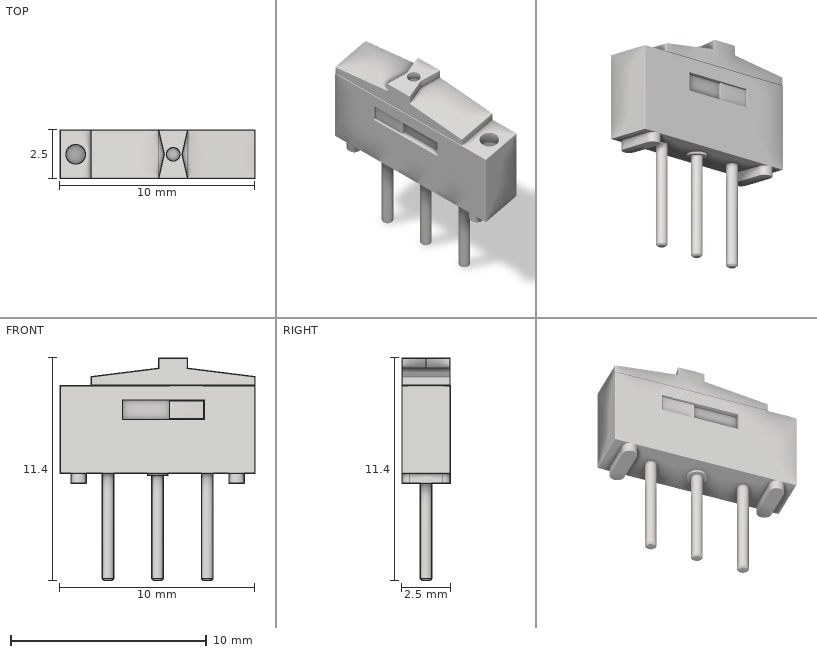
import cadquery as cq


OVERALL_HEIGHT = 11.4

HOUSING_LENGTH = 10.0
HOUSING_WIDTH = 2.5
HOUSING_HEIGHT = 4.5
RIGHT_END = HOUSING_LENGTH / 2

EDGE_RADIUS = 0.02

LEDGE_LENGTH = 1.6
CAP_LENGTH = HOUSING_LENGTH - LEDGE_LENGTH
CAP_INSET = 0.01
CAP_GAP = 0.02
CAP_BOTTOM = HOUSING_HEIGHT + CAP_GAP
CAP_WIDTH = HOUSING_WIDTH - 2 * CAP_INSET
CAP_CENTRE_X = RIGHT_END - CAP_LENGTH / 2
CAP_END_TOP = HOUSING_HEIGHT + 0.46
SLOPE_TOP = HOUSING_HEIGHT + 0.89

KNOB_TOP = HOUSING_HEIGHT + 1.4
KNOB_LENGTH = 1.49
KNOB_NOTCH_DEPTH = 0.28
KNOB_HOLE_DIAMETER = 0.7
KNOB_HOLE_DEPTH = 0.46

LEDGE_HOLE_DIAMETER = 1.0
LEDGE_HOLE_DEPTH = 0.68
LEDGE_HOLE_X = -RIGHT_END + LEDGE_LENGTH / 2

WINDOW_LEFT = -1.79
WINDOW_RIGHT = 2.42
WINDOW_BOTTOM = 2.77
WINDOW_HEIGHT = 0.98
WINDOW_DEPTH = 0.3

CATCH_LENGTH = 1.74
CATCH_END_GAP = 0.07
CATCH_EDGE_GAP = 0.03
CATCH_RECESS = 0.1
CATCH_HEIGHT = WINDOW_HEIGHT - 2 * CATCH_EDGE_GAP
CATCH_CENTRE_X = WINDOW_RIGHT - CATCH_END_GAP - CATCH_LENGTH / 2
CATCH_SPAN = HOUSING_WIDTH - 2 * CATCH_RECESS
STEM_WIDTH = HOUSING_WIDTH - 2 * WINDOW_DEPTH
STEM_BOTTOM = WINDOW_BOTTOM + CATCH_EDGE_GAP

FOOT_SPACING = 8.1
FOOT_THICKNESS = 0.8
FOOT_HEIGHT = 0.51

PIN_COUNT = 3
PIN_PITCH = 2.54
PIN_DIAMETER = 0.6
PIN_LENGTH = OVERALL_HEIGHT - KNOB_TOP
PIN_TIP_CHAMFER = 0.09
COLLAR_DIAMETER = 1.05
COLLAR_HEIGHT = 0.11


def box(length, width, height, centre_x, bottom):
    """Block centred across the switch, standing on the level `bottom`."""
    return (
        cq.Workplane("XY", origin=(centre_x, 0, bottom))
        .box(length, width, height, centered=(True, True, False))
    )


def cylinder_down(diameter, height, x, top):
    """Upright cylinder on the centre line, hanging from the level `top`."""
    return cq.Workplane("XY", origin=(x, 0, top)).circle(diameter / 2).extrude(-height)


def make_stem():
    """Solid stem that fills the slot below the cap."""
    return box(CATCH_LENGTH, STEM_WIDTH, CAP_BOTTOM - STEM_BOTTOM, CATCH_CENTRE_X, STEM_BOTTOM)


def make_window_cuts():
    """Shallow rectangular windows in both long sides of the housing."""
    length = WINDOW_RIGHT - WINDOW_LEFT
    centre_x = (WINDOW_LEFT + WINDOW_RIGHT) / 2
    across = box(length, HOUSING_WIDTH, WINDOW_HEIGHT, centre_x, WINDOW_BOTTOM)
    core = box(length, STEM_WIDTH, WINDOW_HEIGHT, centre_x, WINDOW_BOTTOM)
    return across.cut(core)


def make_foot(x):
    """Stand-off foot with fully rounded ends."""
    return (
        cq.Workplane("XY", origin=(x, 0, 0))
        .slot2D(HOUSING_WIDTH, FOOT_THICKNESS, 90)
        .extrude(-FOOT_HEIGHT)
        .faces("<Z")
        .edges()
        .fillet(EDGE_RADIUS)
    )


def make_pin(x):
    """Round terminal with a chamfered tip."""
    return cylinder_down(PIN_DIAMETER, PIN_LENGTH, x, 0).faces("<Z").chamfer(PIN_TIP_CHAMFER)


def make_housing():
    """Housing with its windows, stem slot, ledge hole, feet and terminals."""
    body = box(HOUSING_LENGTH, HOUSING_WIDTH, HOUSING_HEIGHT, 0, 0).edges().fillet(EDGE_RADIUS)
    body = body.cut(make_window_cuts())
    body = body.cut(make_stem())
    body = body.cut(cylinder_down(LEDGE_HOLE_DIAMETER, LEDGE_HOLE_DEPTH, LEDGE_HOLE_X, HOUSING_HEIGHT))
    for side in (-1, 1):
        body = body.union(make_foot(side * FOOT_SPACING / 2))
    for index in range(PIN_COUNT):
        body = body.union(make_pin((index - (PIN_COUNT - 1) / 2) * PIN_PITCH))
    return body.union(cylinder_down(COLLAR_DIAMETER, COLLAR_HEIGHT, 0, 0))


def make_cap():
    """Cap with two slopes rising to the foot of the knob, rounded except on its underside."""
    end = CAP_LENGTH / 2
    knob_end = KNOB_LENGTH / 2
    profile = [
        (-end, CAP_BOTTOM),
        (end, CAP_BOTTOM),
        (end, CAP_END_TOP),
        (knob_end, SLOPE_TOP),
        (-knob_end, SLOPE_TOP),
        (-end, CAP_END_TOP),
    ]
    return (
        cq.Workplane("XZ", origin=(CAP_CENTRE_X, 0, 0))
        .polyline(profile)
        .close()
        .extrude(CAP_WIDTH / 2, both=True)
        .edges("not <Z")
        .fillet(EDGE_RADIUS)
    )


def make_knob():
    """Knob notched in a V at both ends, carried down through the cap so its sides stay flush."""
    end = KNOB_LENGTH / 2
    waist = end - KNOB_NOTCH_DEPTH
    side = CAP_WIDTH / 2
    outline = [(-end, -side), (end, -side), (waist, 0), (end, side), (-end, side), (-waist, 0)]
    return (
        cq.Workplane("XY", origin=(CAP_CENTRE_X, 0, CAP_BOTTOM))
        .polyline(outline)
        .close()
        .extrude(KNOB_TOP - CAP_BOTTOM)
        .edges(">Z or (|Z and (<Y or >Y))")
        .fillet(EDGE_RADIUS)
    )


def make_slider():
    """Slider: cap and knob above the housing, stem and catches inside it."""
    catches = box(CATCH_LENGTH, CATCH_SPAN, CATCH_HEIGHT, CATCH_CENTRE_X, STEM_BOTTOM)
    body = make_cap().union(make_knob()).union(make_stem()).union(catches)
    return body.cut(cylinder_down(KNOB_HOLE_DIAMETER, KNOB_HOLE_DEPTH, CAP_CENTRE_X, KNOB_TOP))


housing = make_housing()
slider = make_slider()

result = cq.Compound.makeCompound([housing.val(), slider.val()])